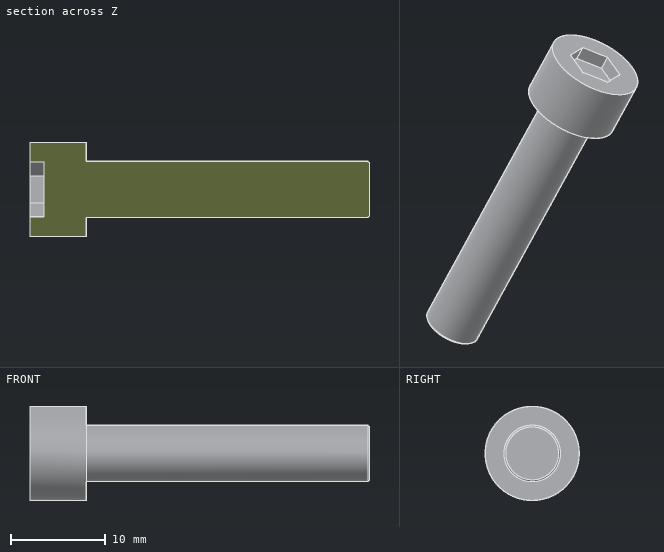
import cadquery as cq
import math

head_diameter = 10.0
head_height = 6.0
shank_diameter = 6.0
shank_length = 30.0
tip_chamfer = 0.2
socket_across_flats = 5.0
socket_sides = 6
socket_depth = 1.5


def make_head():
    """Cylindrical head, from X = -head_height to its bearing face at X = 0."""
    return cq.Workplane("YZ").circle(head_diameter / 2).extrude(-head_height)


def make_shank():
    """Plain shank with a small chamfer around its free end."""
    shank = cq.Workplane("YZ").circle(shank_diameter / 2).extrude(shank_length)
    return shank.faces(">X").chamfer(tip_chamfer)


def make_hex_socket():
    """Hexagonal drive socket, with two flats parallel to the XY plane."""
    across_corners = socket_across_flats / math.cos(math.pi / socket_sides)
    outer_face = cq.Workplane("YZ").workplane(offset=-head_height)
    return outer_face.polygon(socket_sides, across_corners).extrude(socket_depth)


result = make_head().union(make_shank()).cut(make_hex_socket())